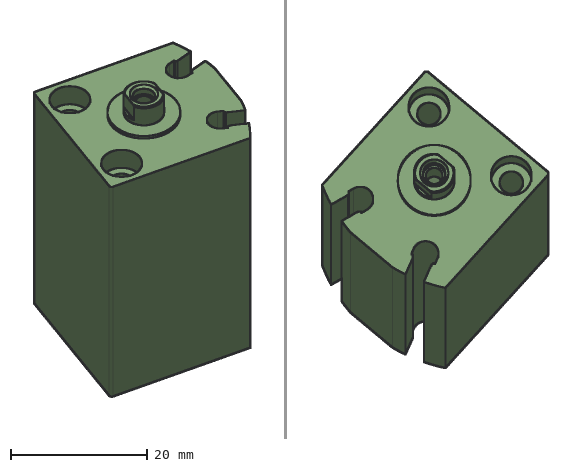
import cadquery as cq
import math

width = 24.0
depth = 26.0
total_height = 45.0
rod_reach = 4.0
block_height = total_height - rod_reach
front_y = -width / 2
back_y = front_y + depth
corner_radius = 0.4
crown_radius = 25.0
crown_flat = 8.1

collar_diameter = 10.7
collar_height = 0.5

hole_x = 8.0
hole_y = -hole_x
hole_diameter = 3.4
counterbore_diameter = 6.0
counterbore_depth = 3.5

slot_x = 6.35
slot_y = 9.22
slot_diameter = 3.8
neck_width = 2.92
shoulder_distance = 0.9
slot_lean = 18.0
neck_length = 7.2

rod_diameter = 6.0
rod_chamfer = 0.2
rod_seat_depth = 10.0
flats_width = 5.0
flats_height = 2.8

bore_mouth_diameter = 4.15
bore_diameter = 3.3
bore_depth = 1.5
drill_diameter = 2.48
drill_depth = 6.0
drill_tip_angle = 118.0

rod_base = block_height - rod_seat_depth


def make_block():
    """Block with a flat-topped crown along its back face."""
    half_width = width / 2
    half_flat = crown_flat / 2
    crown_centre_y = back_y - math.sqrt(crown_radius**2 - half_flat**2)

    def crown_point(x):
        return (x, crown_centre_y + math.sqrt(crown_radius**2 - x**2))

    mid_x = (half_width + half_flat) / 2
    block = (
        cq.Workplane("XY")
        .moveTo(-half_width, front_y)
        .lineTo(half_width, front_y)
        .lineTo(*crown_point(half_width))
        .threePointArc(crown_point(mid_x), crown_point(half_flat))
        .lineTo(*crown_point(-half_flat))
        .threePointArc(crown_point(-mid_x), crown_point(-half_width))
        .close()
        .extrude(block_height)
    )
    return block.edges("|Z and <Y").fillet(corner_radius)


def make_slot(side):
    """Cutter for one sensor slot; side is -1 for left, 1 for right."""
    round_end = cq.Workplane("XY").circle(slot_diameter / 2).extrude(block_height)
    throat = (
        cq.Workplane("XY")
        .rect(slot_diameter, shoulder_distance)
        .extrude(block_height)
        .translate((0, shoulder_distance / 2, 0))
    )
    neck = (
        cq.Workplane("XY")
        .rect(neck_width, neck_length)
        .extrude(block_height)
        .translate((0, neck_length / 2, 0))
    )
    return (
        round_end.union(throat)
        .union(neck)
        .rotate((0, 0, 0), (0, 0, 1), -side * slot_lean)
        .translate((side * slot_x, slot_y, 0))
    )


def make_housing():
    housing = make_block()
    for side in (-1, 1):
        housing = housing.cut(make_slot(side))

    housing = (
        housing.faces(">Z")
        .workplane(origin=(0, 0, block_height))
        .pushPoints([(-hole_x, hole_y), (hole_x, hole_y)])
        .cboreHole(hole_diameter, counterbore_diameter, counterbore_depth)
    )

    collar = (
        cq.Workplane("XY", origin=(0, 0, block_height))
        .circle(collar_diameter / 2)
        .extrude(collar_height)
    )
    seat = (
        cq.Workplane("XY", origin=(0, 0, rod_base))
        .circle(rod_diameter / 2)
        .extrude(total_height - rod_base)
    )
    return housing.union(collar).cut(seat)


def make_bore():
    """Cutter for the stepped bore with a chamfered mouth and a conical end."""
    mouth_depth = (bore_mouth_diameter - bore_diameter) / 2
    tip_depth = drill_diameter / 2 / math.tan(math.radians(drill_tip_angle / 2))
    return (
        cq.Workplane("XZ")
        .moveTo(0, total_height)
        .lineTo(bore_mouth_diameter / 2, total_height)
        .lineTo(bore_diameter / 2, total_height - mouth_depth)
        .lineTo(bore_diameter / 2, total_height - bore_depth)
        .lineTo(drill_diameter / 2, total_height - bore_depth)
        .lineTo(drill_diameter / 2, total_height - drill_depth)
        .lineTo(0, total_height - drill_depth - tip_depth)
        .close()
        .revolve(360, (0, 0, 0), (0, 1, 0))
    )


def make_rod():
    rod = (
        cq.Workplane("XY", origin=(0, 0, rod_base))
        .circle(rod_diameter / 2)
        .extrude(total_height - rod_base)
        .faces(">Z")
        .chamfer(rod_chamfer)
    )

    for side in (-1, 1):
        flat = (
            cq.Workplane("XY", origin=(0, 0, total_height - flats_height))
            .rect(rod_diameter, rod_diameter)
            .extrude(flats_height)
            .translate((0, side * (flats_width + rod_diameter) / 2, 0))
        )
        rod = rod.cut(flat)
    return rod.cut(make_bore())


housing = make_housing()
rod = make_rod()

result = cq.Compound.makeCompound([housing.val(), rod.val()])